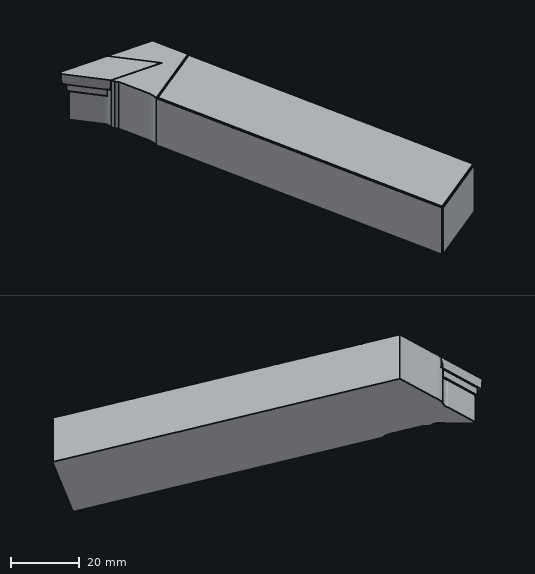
import cadquery as cq
import math

length = 123.6
width = 20.0
height = 20.0

bevel_width = 0.4
bevel_depth = 0.1
end_chamfer = 0.4
head_height = height - bevel_depth
shank_start = 29.4

front_edge_angle = 18.0
nose_angle = 35.0
side_edge_angle = front_edge_angle + nose_angle
side_length = 16.3
nose_radius = 0.6
nose_overhang = 4.2
insert_thickness = 4.5
clearance_angle = 3.0

ledge_thickness = 3.3
insert_floor = head_height - insert_thickness
ledge_floor = insert_floor - ledge_thickness

head_front = 0.7
head_curve_start = 26.5
head_back_corner = 17.7
side_blend_start_y = 10.4
front_lip = (14.5, 0.2)
lip_shoulder = (15.6, 0.31)
lip_end_x = 16.7
side_lip = (8.5, 7.7)

pedestal_nose = ((1.7, -2.41), (2.3, -2.7))
ledge_nose = ((1.2, -2.6), (1.6, -3.1))
pedestal_front_end_x = 11.5
pedestal_side_end_y = 5.5
ledge_front_length = 12.9
ledge_side_length = 12.6
side_bulge = 0.1
fillet_sag = 0.4


def travel(point, angle, distance):
    """Point at a distance from another, along an angle measured from +X."""
    turn = math.radians(angle)
    return (point[0] + distance * math.cos(turn), point[1] + distance * math.sin(turn))


def travel_to_x(point, angle, x):
    return travel(point, angle, (x - point[0]) / math.cos(math.radians(angle)))


def travel_to_y(point, angle, y):
    return travel(point, angle, (y - point[1]) / math.sin(math.radians(angle)))


def bowed_middle(start, end, sag):
    """Middle of an arc that bows to the right of the way from start to end."""
    middle = ((start[0] + end[0]) / 2, (start[1] + end[1]) / 2)
    heading = math.degrees(math.atan2(end[1] - start[1], end[0] - start[0]))
    return travel(middle, heading - 90, sag)


nose_center = (nose_radius, nose_radius - nose_overhang)
bisector = front_edge_angle + nose_angle / 2
tip_to_center = nose_radius / math.sin(math.radians(nose_angle / 2))
sharp_tip = travel(nose_center, bisector, -tip_to_center)
front_corner = travel(sharp_tip, front_edge_angle, side_length)
side_corner = travel(sharp_tip, side_edge_angle, side_length)
inner_tip = travel(front_corner, side_edge_angle, side_length)


def taper_down(profile):
    """Solid below a closed profile, narrowing downward by the clearance angle."""
    return profile.extrude(-insert_thickness, taper=clearance_angle)


def make_pocket():
    """Cutter for the insert seat, with sharp corners."""
    outline = (
        cq.Workplane("XY", origin=(0, 0, head_height))
        .polyline([sharp_tip, front_corner, inner_tip, side_corner])
        .close()
    )
    return taper_down(outline)


def make_insert():
    """Rhombic insert with both acute corners rounded."""
    tangent_length = nose_radius / math.tan(math.radians(nose_angle / 2))
    vertex_to_arc = tip_to_center - nose_radius
    outline = (
        cq.Workplane("XY", origin=(0, 0, head_height))
        .moveTo(*travel(sharp_tip, front_edge_angle, tangent_length))
        .lineTo(*front_corner)
        .lineTo(*travel(inner_tip, side_edge_angle, -tangent_length))
        .threePointArc(
            travel(inner_tip, bisector, -vertex_to_arc),
            travel(inner_tip, front_edge_angle, -tangent_length),
        )
        .lineTo(*side_corner)
        .lineTo(*travel(sharp_tip, side_edge_angle, tangent_length))
        .threePointArc(
            travel(sharp_tip, bisector, vertex_to_arc),
            travel(sharp_tip, front_edge_angle, tangent_length),
        )
        .close()
    )
    return taper_down(outline)


def make_shank():
    """Square shank with a chamfered rear end and a shallow bevel round its top."""
    block = (
        cq.Workplane("XY")
        .box(length - shank_start, width, head_height, centered=False)
        .translate((shank_start, 0, 0))
        .edges("|Z and >X")
        .chamfer(end_chamfer)
    )
    bevel_taper = math.degrees(math.atan2(bevel_width, bevel_depth))
    top_outline = block.faces(">Z").wires().toPending()
    return top_outline.extrude(bevel_depth, taper=bevel_taper)


def make_head():
    """Full-height head and the pedestal under the insert."""
    side_start, front_start = pedestal_nose
    front_end = travel_to_x(front_start, front_edge_angle, pedestal_front_end_x)
    side_end = travel_to_y(side_start, side_edge_angle, pedestal_side_end_y)
    back_corner = (head_back_corner, width)
    side_blend = travel_to_y(back_corner, side_edge_angle, side_blend_start_y)
    curve_start = (head_curve_start, head_front)
    curve_end = (shank_start, 0)
    return (
        cq.Workplane("XY")
        .moveTo(*side_start)
        .lineTo(*front_start)
        .lineTo(*front_end)
        .threePointArc(bowed_middle(front_end, front_lip, -fillet_sag), front_lip)
        .lineTo(*lip_shoulder)
        .lineTo(lip_end_x, head_front)
        .lineTo(*curve_start)
        .tangentArcPoint(curve_end, relative=False)
        .lineTo(shank_start, width)
        .lineTo(*back_corner)
        .lineTo(*side_blend)
        .threePointArc(bowed_middle(side_blend, side_lip, side_bulge), side_lip)
        .threePointArc(bowed_middle(side_lip, side_end, -fillet_sag), side_end)
        .close()
        .extrude(head_height)
    )


def make_ledge():
    """Thin rhombic ledge between the pedestal and the insert."""
    side_start, front_start = ledge_nose
    front_end = travel(front_start, front_edge_angle, ledge_front_length)
    side_end = travel(side_start, side_edge_angle, ledge_side_length)
    return (
        cq.Workplane("XY", origin=(0, 0, ledge_floor))
        .polyline([side_start, front_start, front_end, side_end])
        .close()
        .extrude(ledge_thickness)
    )


def make_holder():
    body = make_shank().union(make_head()).union(make_ledge())
    return body.cut(make_pocket())


holder = make_holder()
insert = make_insert()

result = cq.Compound.makeCompound([holder.val(), insert.val()])